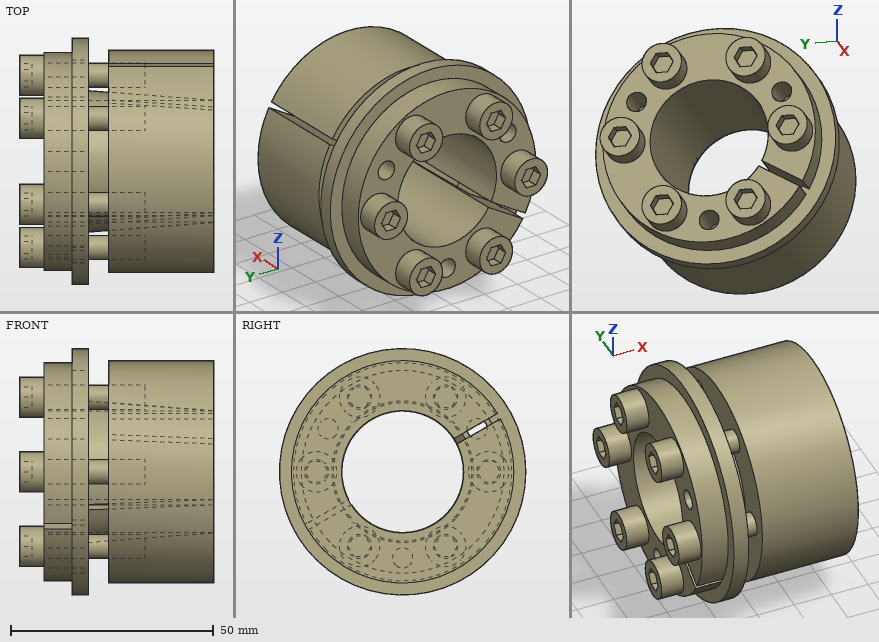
import cadquery as cq
import math


flange_length = 7.0
spacer_length = 4.0
gap_length = 5.0
sleeve_length = 26.0

shoulder_end = flange_length + spacer_length
sleeve_start = shoulder_end + gap_length
sleeve_end = sleeve_start + sleeve_length

bore_diameter = 30.0
flange_diameter = 54.0
spacer_diameter = 61.0
shoulder_diameter = 50.15
sleeve_diameter = 55.0

cone_start_radius = 17.5
cone_angle = 4.4
cone_slope = math.tan(math.radians(cone_angle))
cone_sleeve_radius = cone_start_radius - gap_length * cone_slope
cone_end_radius = cone_start_radius - (sleeve_end - shoulder_end) * cone_slope

slit_width = 1.5
inner_slit_angle = 210
sleeve_slit_angle = 30

pitch_radius = 21.3
screw_count = 6
screw_angles = [i * 360 / screw_count for i in range(screw_count)]
jacking_hole_angles = [30, 150, 270]
jacking_hole_diameter = 5.0
shank_diameter = 6.0
shank_length = 25.0
head_diameter = 10.0
head_length = 6.0
socket_across_flats = 5.0
socket_depth = 3.0
socket_across_corners = socket_across_flats / math.cos(math.radians(30))


def revolve_about_x(points):
    """Revolve a profile of (x, radius) points about the X axis."""
    return cq.Workplane("XY").polyline(points).close().revolve(360, (0, 0, 0), (1, 0, 0))


def on_pitch_circle(angle):
    """Position (y, z) on the pitch circle; the angle runs from +Y towards +Z."""
    return pitch_radius * math.cos(math.radians(angle)), pitch_radius * math.sin(math.radians(angle))


def cylinders(diameter, start, length, angles):
    """Cylinders parallel to X, one at each angle of the pitch circle."""
    centres = [on_pitch_circle(angle) for angle in angles]
    return cq.Workplane("YZ", origin=(start, 0, 0)).pushPoints(centres).circle(diameter / 2).extrude(length)


def slit(angle):
    """Radial slab that cuts one side of a ring over its whole length."""
    slab = cq.Workplane("XY").box(sleeve_end, spacer_diameter, slit_width, centered=(False, False, True))
    return slab.rotate((0, 0, 0), (1, 0, 0), angle)


screw_shanks = cylinders(shank_diameter, 0, shank_length, screw_angles)


def make_inner_ring():
    """Flanged ring with a spacer shoulder, a tapered outside and a slit."""
    ring = revolve_about_x([
        (0, bore_diameter / 2),
        (0, flange_diameter / 2),
        (flange_length, flange_diameter / 2),
        (flange_length, shoulder_diameter / 2),
        (shoulder_end, shoulder_diameter / 2),
        (shoulder_end, cone_start_radius),
        (sleeve_end, cone_end_radius),
        (sleeve_end, bore_diameter / 2),
    ])
    jacking_holes = cylinders(jacking_hole_diameter, 0, shoulder_end, jacking_hole_angles)
    return ring.cut(jacking_holes).cut(screw_shanks).cut(slit(inner_slit_angle))


def make_spacer():
    """Plain ring that sits on the shoulder behind the flange."""
    return (
        cq.Workplane("YZ", origin=(flange_length, 0, 0))
        .circle(spacer_diameter / 2)
        .circle(shoulder_diameter / 2)
        .extrude(spacer_length)
    )


def make_sleeve():
    """Outer clamping sleeve with a tapered bore, blind screw holes and a slit."""
    sleeve = revolve_about_x([
        (sleeve_start, cone_sleeve_radius),
        (sleeve_start, sleeve_diameter / 2),
        (sleeve_end, sleeve_diameter / 2),
        (sleeve_end, cone_end_radius),
    ])
    return sleeve.cut(screw_shanks).cut(slit(sleeve_slit_angle))


def make_screw(angle):
    """Socket head cap screw whose head bears on the flange face."""
    screw = (
        cq.Workplane("YZ", origin=(-head_length, 0, 0))
        .circle(head_diameter / 2)
        .extrude(head_length)
        .faces(">X")
        .workplane()
        .circle(shank_diameter / 2)
        .extrude(shank_length)
    )
    socket = (
        cq.Workplane("YZ", origin=(-head_length, 0, 0))
        .polygon(6, socket_across_corners)
        .extrude(socket_depth)
    )
    y, z = on_pitch_circle(angle)
    return screw.cut(socket).translate((0, y, z))


inner_ring = make_inner_ring()
spacer = make_spacer()
sleeve = make_sleeve()
screws = [make_screw(angle) for angle in screw_angles]

result = cq.Compound.makeCompound([
    inner_ring.val(),
    spacer.val(),
    sleeve.val(),
    *[screw.val() for screw in screws],
])